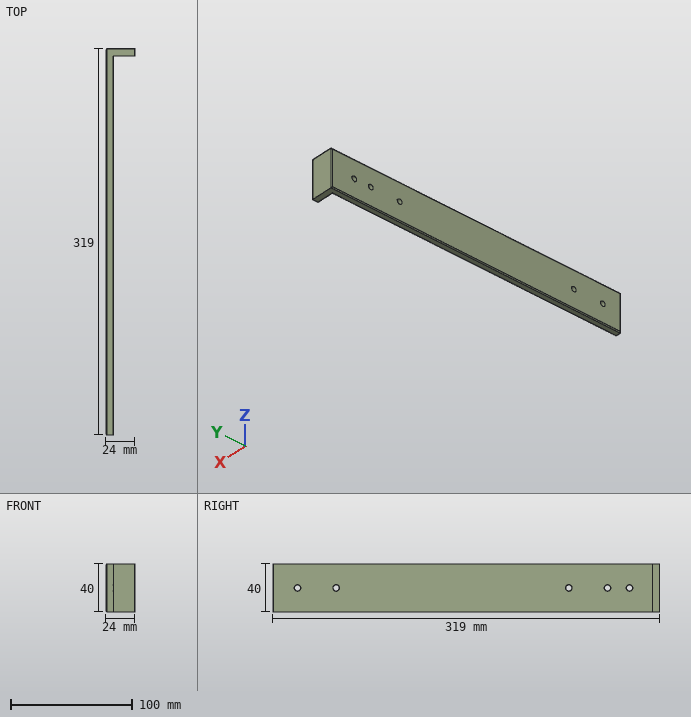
import cadquery as cq

length = 319.0
height = 40.0
flange_reach = 24.0
thickness = 6.0

edge_chamfer = 1.0

hole_diameter = 5.0
hole_spacing = 32.0
end_hole_offset = 25.0
flange_pair_start = 43.0
free_pair_start = 267.0
hole_offsets = [
    end_hole_offset,
    flange_pair_start,
    flange_pair_start + hole_spacing,
    free_pair_start,
    free_pair_start + hole_spacing,
]


def make_angle():
    """Long plate along Y with a short flange turned toward +X at its +Y end."""
    plate = cq.Workplane("XY").box(thickness, length, height, centered=False)
    flange = (
        cq.Workplane("XY")
        .box(flange_reach, thickness, height, centered=False)
        .translate((0, length - thickness, 0))
    )
    return plate.union(flange)


def make_holes():
    """Cylinders that pass through the plate thickness."""
    centers = [(length - offset, height / 2) for offset in hole_offsets]
    return cq.Workplane("YZ").pushPoints(centers).circle(hole_diameter / 2).extrude(thickness)


angle = make_angle().faces("<X").edges().chamfer(edge_chamfer)
result = angle.cut(make_holes())